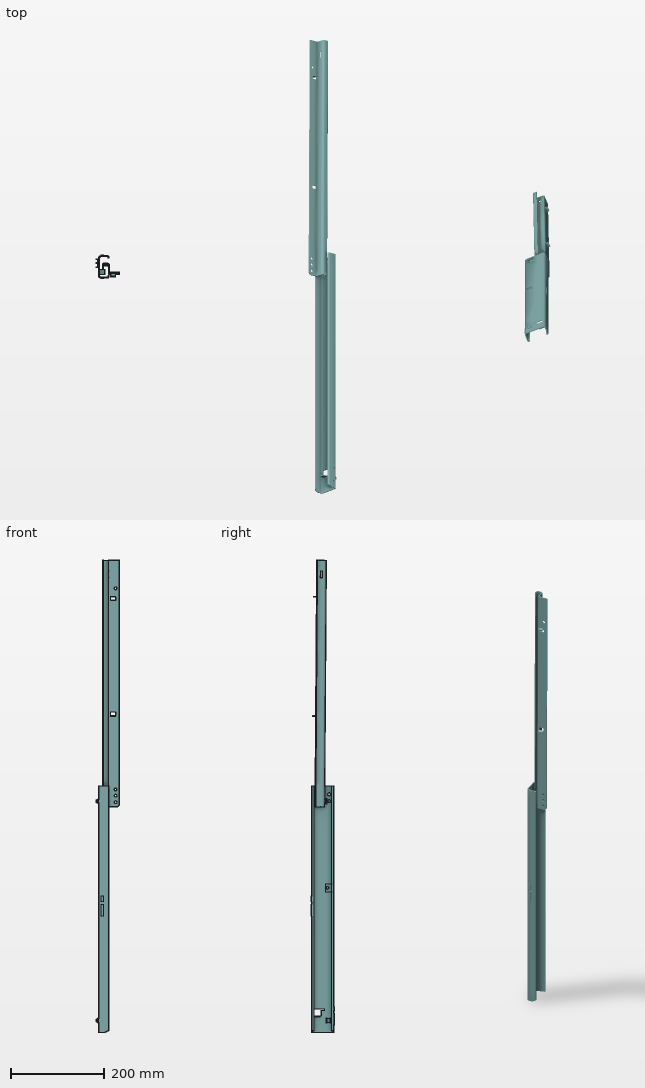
import cadquery as cq

TOTAL_X = 49.43
TOTAL_Y = 50.2
TOTAL_Z = 1015.02
MEMBER_LENGTH = 530.0
SHEET = 2.0

CHANNEL_WIDTH = 48.0
CHANNEL_DEPTH = 22.0
CHANNEL_LIP = 5.0
CHANNEL_BEND = 5.2
LIP_BEND = 2.8
EAR_REACH = 5.0
WEB_X = -TOTAL_X / 2 + EAR_REACH
FLANGE_TIP_X = WEB_X + CHANNEL_DEPTH
CHANNEL_BOTTOM_Z = -TOTAL_Z / 2
CHANNEL_TOP_Z = CHANNEL_BOTTOM_Z + MEMBER_LENGTH
END_BEVEL_X = 9.0
END_BEVEL_Z = 4.5

EARED_BRIDGES = [(3.8, -10.5), (12.5, -481.5)]
BRIDGE_WIDTH = 8.5
BRIDGE_HEIGHT = 8.0
EAR_ROOT_HEIGHT = 14.0
EAR_TIP_HEIGHT = 5.0
EAR_WALL = 1.5

WEB_HOLES = [(13.8, 4.6, 6.0), (-4.6, 15.0, 5.0)]
DIMPLE_Y = 13.8
DIMPLE_Z = -10.0
DIMPLE_DIAMETER = 6.0

RECESS_INNER_Y = 6.0
RECESS_TOP_Z = -188.0
RECESS_HEIGHT = 17.0
RECESS_DEPTH = SHEET / 2
RECESS_HOLE_Y = 10.0
RECESS_HOLE_DIAMETER = 5.0

WINDOW_TOP_Z = -457.0
WINDOW_HEIGHT = 14.5
WINDOW_WIDTH = 15.5
WINDOW_Y = -11.0
STOP_REACH = 13.5
STOP_WIDTH = 11.0
SLIT_LENGTH = 7.0
SLIT_HEIGHT = 3.0

PAD_HEIGHT = (TOTAL_Y - CHANNEL_WIDTH) / 2
PAD_WIDTH = 5.0
PAD_X = -11.5
LOWER_PADS = [(-214.0, -226.0), (-232.0, -257.0)]
UPPER_PADS = [(-452.0, -461.0), (-466.0, -491.0)]

RAIL_TOP_Z = TOTAL_Z / 2
RAIL_BOTTOM_Z = RAIL_TOP_Z - MEMBER_LENGTH
RAIL_MID_Z = (RAIL_TOP_Z + RAIL_BOTTOM_Z) / 2
RAIL_TILT = 0.4
RAIL_LEFT_X = -11.2
RAIL_LEG_X = 4.0
ROOF_Y = 6.1
LEFT_LEG_HEIGHT = 9.2
ARM_Y = -15.0
ARM_END_X = TOTAL_X / 2
ROOF_LEFT_BEND = 3.0
ROOF_RIGHT_BEND = 5.5
ARM_BEND = 2.4
ARM_CORNER_CUT = 4.0

ARM_HOLE_X = 16.9
ARM_HOLE_DIAMETER = 5.5
ARM_HOLE_HEIGHTS = [447.0, 15.0, 1.5, -12.5]

ARM_OPENINGS = [(421.5, 428.0), (173.0, 172.0)]
ARM_OPENING_HEIGHT = 8.0
ARM_OPENING_LEFT_X = RAIL_LEG_X + 2.0
ARM_OPENING_WIDTH = 11.0
ARM_TAB_REACH = 6.0
ARM_TAB_THICKNESS = 2.0

LEG_SLOT_Z = 477.0
LEG_SLOT_HEIGHT = 14.0
LEG_SLOT_WIDTH = 4.0


def box(x_range, y_range, z_range):
    """Axis-aligned box between the given limits."""
    (x0, x1), (y0, y1), (z0, z1) = x_range, y_range, z_range
    return cq.Workplane("XY").box(x1 - x0, y1 - y0, z1 - z0, centered=False).translate((x0, y0, z0))


def round_edge(rail, x, y, radius):
    """Round the rail edge that runs along Z through (x, y)."""
    return rail.edges(cq.selectors.NearestToPointSelector((x, y, RAIL_MID_Z))).fillet(radius)


def channel_profile():
    """Lipped C section, open toward +X, with bent corners."""
    half = CHANNEL_WIDTH / 2
    z_range = (CHANNEL_BOTTOM_Z, CHANNEL_TOP_Z)
    outer = box((WEB_X, FLANGE_TIP_X), (-half, half), z_range)
    outer = outer.edges("|Z and <X").fillet(CHANNEL_BEND).edges("|Z and >X").fillet(LIP_BEND)
    hollow_half = half - SHEET
    hollow = box((WEB_X + SHEET, FLANGE_TIP_X - SHEET), (-hollow_half, hollow_half), z_range)
    hollow = hollow.edges("|Z and <X").fillet(CHANNEL_BEND - SHEET)
    hollow = hollow.edges("|Z and >X").fillet(LIP_BEND - SHEET)
    gap_half = half - CHANNEL_LIP
    gap = box((FLANGE_TIP_X - 2 * SHEET, FLANGE_TIP_X), (-gap_half, gap_half), z_range)
    return outer.cut(hollow).cut(gap)


def flange_end_bevel():
    """Wedge that slants the lower ends of both flanges toward their tips."""
    return (
        cq.Workplane("XZ")
        .moveTo(FLANGE_TIP_X - END_BEVEL_X, CHANNEL_BOTTOM_Z)
        .lineTo(FLANGE_TIP_X, CHANNEL_BOTTOM_Z)
        .lineTo(FLANGE_TIP_X, CHANNEL_BOTTOM_Z + END_BEVEL_Z)
        .close()
        .extrude(CHANNEL_WIDTH / 2, both=True)
    )


def web_hole(y, z, diameter, depth):
    """Cylinder entering the web from its -X face."""
    return cq.Workplane("YZ", origin=(WEB_X, y, z)).circle(diameter / 2).extrude(depth)


def ear(y, z):
    """Ear standing on the web toward -X, its height tapering to the tip."""
    root_x = WEB_X + SHEET
    tip_x = WEB_X - EAR_REACH
    outline = [
        (root_x, z - EAR_ROOT_HEIGHT / 2),
        (root_x, z + EAR_ROOT_HEIGHT / 2),
        (tip_x, z + EAR_TIP_HEIGHT / 2),
        (tip_x, z - EAR_TIP_HEIGHT / 2),
    ]
    side = cq.Workplane("XZ", origin=(0, y, 0)).polyline(outline).close()
    return side.extrude(EAR_WALL / 2, both=True)


def add_eared_bridge(channel, y, z):
    """Part of the web pushed out toward -X between two ears."""
    half_width = BRIDGE_WIDTH / 2
    y_range = (y - half_width, y + half_width)
    z_range = (z - BRIDGE_HEIGHT / 2, z + BRIDGE_HEIGHT / 2)
    channel = channel.cut(box((WEB_X, WEB_X + SHEET), y_range, z_range))
    channel = channel.union(box((WEB_X - SHEET, WEB_X), y_range, z_range))
    for ear_y in y_range:
        channel = channel.union(ear(ear_y, z))
    return channel


def add_stop_window(channel):
    """Window and relief slit in the web, with the stop tab folded in along the lower edge."""
    left_y = WINDOW_Y + WINDOW_WIDTH / 2
    right_y = WINDOW_Y - WINDOW_WIDTH / 2
    bottom_z = WINDOW_TOP_Z - WINDOW_HEIGHT
    web_range = (WEB_X, WEB_X + SHEET)
    window = box(web_range, (right_y, left_y), (bottom_z, WINDOW_TOP_Z))
    slit = box(web_range, (left_y, left_y + SLIT_LENGTH), (WINDOW_TOP_Z - SLIT_HEIGHT, WINDOW_TOP_Z))
    stop_range = (WINDOW_Y - STOP_WIDTH / 2, WINDOW_Y + STOP_WIDTH / 2)
    stop = box((WEB_X, WEB_X + STOP_REACH), stop_range, (bottom_z - SHEET, bottom_z))
    return channel.cut(window).cut(slit).union(stop)


def flange_pad(side, top_z, bottom_z):
    """Raised pad on the flange at the given side (+1 for +Y, -1 for -Y)."""
    face = side * CHANNEL_WIDTH / 2
    y_range = sorted((face - side * SHEET / 2, face + side * PAD_HEIGHT))
    return box((PAD_X - PAD_WIDTH / 2, PAD_X + PAD_WIDTH / 2), y_range, (bottom_z, top_z))


def build_channel():
    channel = channel_profile().cut(flange_end_bevel())
    for y, z, diameter in WEB_HOLES:
        channel = channel.cut(web_hole(y, z, diameter, SHEET))
    channel = channel.cut(web_hole(DIMPLE_Y, DIMPLE_Z, DIMPLE_DIAMETER, SHEET / 2))
    channel = channel.cut(
        box(
            (WEB_X, WEB_X + RECESS_DEPTH),
            (RECESS_INNER_Y, CHANNEL_WIDTH / 2),
            (RECESS_TOP_Z - RECESS_HEIGHT, RECESS_TOP_Z),
        )
    )
    recess_mid_z = RECESS_TOP_Z - RECESS_HEIGHT / 2
    channel = channel.cut(web_hole(RECESS_HOLE_Y, recess_mid_z, RECESS_HOLE_DIAMETER, SHEET))
    for y, z in EARED_BRIDGES:
        channel = add_eared_bridge(channel, y, z)
    channel = add_stop_window(channel)
    for top_z, bottom_z in LOWER_PADS:
        channel = channel.union(flange_pad(-1, top_z, bottom_z))
    for top_z, bottom_z in UPPER_PADS:
        channel = channel.union(flange_pad(1, top_z, bottom_z))
    return channel


def rail_profile():
    """Inverted U whose right leg turns out into the arm, with bent corners."""
    left_inner_x = RAIL_LEFT_X + SHEET
    leg_inner_x = RAIL_LEG_X - SHEET
    roof_under_y = ROOF_Y - SHEET
    arm_top_y = ARM_Y + SHEET
    left_leg_end_y = ROOF_Y - LEFT_LEG_HEIGHT
    outline = [
        (RAIL_LEFT_X, left_leg_end_y),
        (RAIL_LEFT_X, ROOF_Y),
        (RAIL_LEG_X, ROOF_Y),
        (RAIL_LEG_X, arm_top_y),
        (ARM_END_X, arm_top_y),
        (ARM_END_X, ARM_Y),
        (leg_inner_x, ARM_Y),
        (leg_inner_x, roof_under_y),
        (left_inner_x, roof_under_y),
        (left_inner_x, left_leg_end_y),
    ]
    base = cq.Workplane("XY").workplane(offset=RAIL_BOTTOM_Z)
    rail = base.polyline(outline).close().extrude(MEMBER_LENGTH)
    rail = round_edge(rail, RAIL_LEFT_X, ROOF_Y, ROOF_LEFT_BEND)
    rail = round_edge(rail, left_inner_x, roof_under_y, ROOF_LEFT_BEND - SHEET)
    rail = round_edge(rail, RAIL_LEG_X, ROOF_Y, ROOF_RIGHT_BEND)
    rail = round_edge(rail, leg_inner_x, roof_under_y, ROOF_RIGHT_BEND - SHEET)
    rail = round_edge(rail, leg_inner_x, ARM_Y, ARM_BEND)
    return round_edge(rail, RAIL_LEG_X, arm_top_y, ARM_BEND - SHEET)


def add_arm_opening(rail, opening_z, tab_z):
    """Opening through the arm with a tab standing out toward -Y."""
    x_range = (ARM_OPENING_LEFT_X, ARM_OPENING_LEFT_X + ARM_OPENING_WIDTH)
    rail = rail.cut(box(x_range, (ARM_Y, ARM_Y + SHEET), (opening_z, opening_z + ARM_OPENING_HEIGHT)))
    tab = box(x_range, (ARM_Y - ARM_TAB_REACH, ARM_Y + SHEET), (tab_z, tab_z + ARM_TAB_THICKNESS))
    return rail.union(tab)


def build_rail():
    rail = rail_profile()
    rail = rail.edges("|Y and >X and <Z").chamfer(ARM_CORNER_CUT)
    for z in ARM_HOLE_HEIGHTS:
        hole = cq.Workplane("XZ", origin=(ARM_HOLE_X, ARM_Y + SHEET, z)).circle(ARM_HOLE_DIAMETER / 2)
        rail = rail.cut(hole.extrude(SHEET))
    for opening_z, tab_z in ARM_OPENINGS:
        rail = add_arm_opening(rail, opening_z, tab_z)
    slot_y = (ROOF_Y + ARM_Y) / 2
    rail = rail.cut(
        box(
            (RAIL_LEG_X - SHEET, RAIL_LEG_X),
            (slot_y - LEG_SLOT_WIDTH / 2, slot_y + LEG_SLOT_WIDTH / 2),
            (LEG_SLOT_Z - LEG_SLOT_HEIGHT / 2, LEG_SLOT_Z + LEG_SLOT_HEIGHT / 2),
        )
    )
    tilted = rail.rotate((0, 0, RAIL_MID_Z), (1, 0, RAIL_MID_Z), -RAIL_TILT)
    return tilted.translate((0, 0, RAIL_TOP_Z - tilted.val().BoundingBox().zmax))


channel = build_channel()
rail = build_rail()
result = cq.Compound.makeCompound([channel.val(), rail.val()])